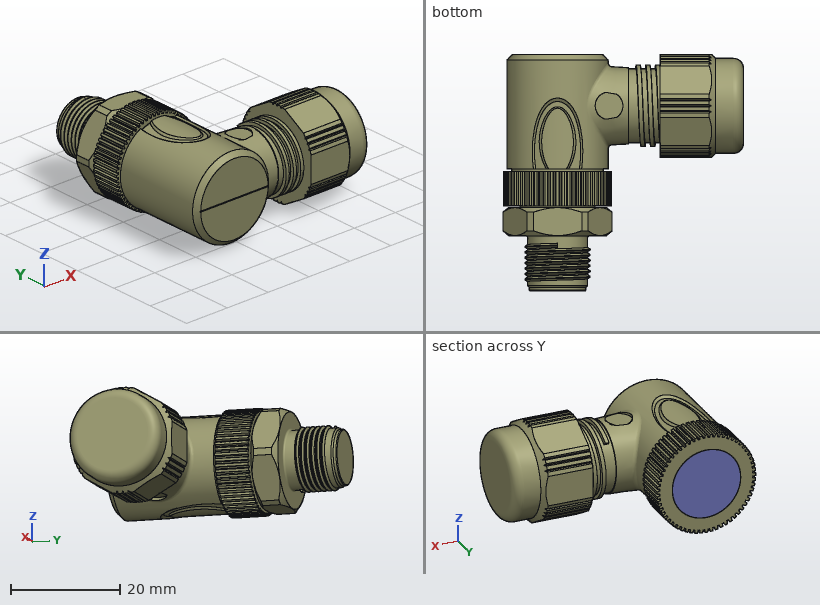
import cadquery as cq
import math


overall_height = 19.8

body_bottom = -9.45
overall_length = 43.37
stud_tip = body_bottom + overall_length
body_top = 11.55
knurl_bottom = 12.0
knurl_length = 6.35
hex_bottom = 18.6
hex_top = 23.8
stud_thread_start = 25.55

hex_corner_radius = 10.0
overall_width = 44.1
gland_end = overall_width - hex_corner_radius
collar_end = 13.0
gland_thread_start = 14.1
nut_start = 18.8
nut_chamfer_start = 27.75

body_radius = 9.3
body_chamfer = 1.05
seam_width = 0.15
seam_depth = 0.1

badge_center_y = 8.38
field_center_y = 6.6
badge_half_width = 4.65
badge_half_length = 9.8
field_half_width = 2.9
field_half_length = 6.15
groove_depth = 0.45
field_depth = 0.18
badge_wall_angle = 55.0
field_wall_angle = 45.0

collar_radius = 7.0
collar_draft = 3.2
collar_fillet = 0.65
spot_x = 9.45
spot_diameter = 5.05

neck_diameter = 13.6
neck_radius = neck_diameter / 2
gland_thread_radius = 7.5
gland_thread_length = 5.0
gland_thread_turns = 2.8
gland_thread_root_width = 0.9
gland_thread_crest_width = 0.75

nut_radius = overall_height / 2
nut_across_flats = 18.85
nut_sides = 6
dome_radius = 8.73
dome_fillet = 1.9
nut_groove_offsets = (-6.5, 0.0, 6.5)
nut_groove_width = 0.45
nut_groove_depth = 0.35

knurl_radius = overall_height / 2
knurl_root_radius = 9.35
knurl_teeth = 60
tooth_root_width = 0.75
tooth_tip_width = 0.5
lower_neck_radius = 8.4
upper_neck_radius = 6.88

hex_across_flats = 18.0
hex_sides = 6
hex_chamfer_length = 0.9
hex_chamfer_depth = 1.05

stud_radius = 5.5
stud_tip_radius = 5.2
stud_tip_chamfer = 0.18
stud_shoulder = 1.0
stud_shoulder_length = 0.3
stud_root_fillet = 0.35
stud_thread_radius = 6.0
stud_thread_length = 6.5
stud_thread_turns = 6.5
stud_thread_root_width = 0.8
stud_thread_crest_width = 0.15

overlap = 0.18
thread_sink = 0.1


def plug_plane(y):
    """Plane across the plug axis; its local x points to -X and its local y to +Z."""
    return cq.Plane(origin=(0, y, 0), xDir=(-1, 0, 0), normal=(0, 1, 0))


def gland_plane(x):
    """Plane across the gland axis; its local x points to +Y and its local y to +Z."""
    return cq.Plane(origin=(x, 0, 0), xDir=(0, 1, 0), normal=(1, 0, 0))


def plug_cylinder(radius, start, end):
    return cq.Workplane(plug_plane(start)).circle(radius).extrude(end - start)


def hexagon_across_corners(across_flats):
    return across_flats / math.cos(math.pi / 6)


def thread_ridge(plane, length, turns, root_radius, crest_radius, root_width, crest_width):
    """Helical ridge rising along the plane normal from the local x axis."""
    flank_slope = (root_width - crest_width) / (crest_radius - root_radius)
    base_radius = root_radius - thread_sink
    base_width = root_width + flank_slope * thread_sink
    helix = cq.Wire.makeHelix(length / turns, length, root_radius)
    profile = cq.Workplane("XZ").polyline([
        (base_radius, -base_width / 2),
        (crest_radius, -crest_width / 2),
        (crest_radius, crest_width / 2),
        (base_radius, base_width / 2),
    ]).close()
    ridge = profile.sweep(cq.Workplane(obj=helix), isFrenet=True)
    return cq.Workplane(obj=ridge.val().located(cq.Location(plane)))


def make_body():
    """Plug barrel blended into the tapered gland collar."""
    barrel = plug_cylinder(body_radius, body_bottom, body_top)
    barrel = barrel.faces("<Y").chamfer(body_chamfer)

    collar_root_radius = collar_radius + collar_end * math.tan(math.radians(collar_draft))
    collar = (
        cq.Workplane("XY")
        .polyline([(0, 0), (0, collar_root_radius), (collar_end, collar_radius), (collar_end, 0)])
        .close()
        .revolve(360, (0, 0, 0), (1, 0, 0))
    )
    junction = cq.selectors.BoxSelector(
        (0, -collar_root_radius, -collar_root_radius),
        (body_radius - overlap, collar_root_radius, collar_root_radius),
    )
    return barrel.union(collar).edges(junction).fillet(collar_fillet)


def badge_recess():
    """Bevelled oval groove around a slightly sunk oval field, on the +Z face."""
    wall_slope = math.tan(math.radians(badge_wall_angle))
    side_drop = body_radius - math.sqrt(body_radius**2 - badge_half_width**2)
    bowl_half_width = badge_half_width + side_drop * wall_slope
    cut_depth = side_drop + groove_depth

    field_slope = math.tan(math.radians(field_wall_angle))
    field_radius = body_radius - field_depth
    field_drop = body_radius - math.sqrt(field_radius**2 - field_half_width**2)
    island_half_width = field_half_width - field_drop * field_slope
    island_half_length = field_half_length - field_depth * field_slope

    bowl = (
        cq.Workplane("XY", origin=(0, badge_center_y, body_radius))
        .ellipse(bowl_half_width, badge_half_length)
        .extrude(-cut_depth, taper=badge_wall_angle)
    )
    island = (
        cq.Workplane("XY", origin=(0, field_center_y, body_radius))
        .ellipse(island_half_width, island_half_length)
        .extrude(-cut_depth, taper=-field_wall_angle)
    )

    field_top = plug_cylinder(field_radius, body_bottom, stud_tip)
    groove_floor = plug_cylinder(body_radius - groove_depth, body_bottom, stud_tip)
    return bowl.cut(groove_floor).cut(island.intersect(field_top))


def spot_face():
    """Cutter for the round flat on the +Z side of the collar, level with the neck."""
    plane = cq.Workplane("XY", origin=(spot_x, 0, neck_radius))
    return plane.circle(spot_diameter / 2).extrude(body_radius)


def seam_groove():
    """Fine groove across the flat end of the barrel."""
    return cq.Workplane("XY").box(2 * body_radius, 2 * seam_depth, seam_width).translate((0, body_bottom, 0))


def make_knurl():
    """Ring with straight trapezoidal teeth."""
    root = knurl_root_radius - overlap
    tooth = (
        cq.Workplane(plug_plane(knurl_bottom))
        .polyline([
            (root, -tooth_root_width / 2),
            (knurl_radius, -tooth_tip_width / 2),
            (knurl_radius, tooth_tip_width / 2),
            (root, tooth_root_width / 2),
        ])
        .close()
        .extrude(knurl_length)
        .val()
    )
    teeth = [
        tooth.rotate(cq.Vector(0, 0, 0), cq.Vector(0, 1, 0), 360 * i / knurl_teeth)
        for i in range(knurl_teeth)
    ]
    ring = plug_cylinder(knurl_root_radius, knurl_bottom, knurl_bottom + knurl_length)
    return cq.Workplane(obj=ring.val().fuse(*teeth))


def make_hexagon():
    """Hexagon with corners on the X axis, blunted and bevelled by a turned envelope."""
    prism = (
        cq.Workplane(plug_plane(hex_bottom))
        .polygon(hex_sides, hexagon_across_corners(hex_across_flats))
        .extrude(hex_top - hex_bottom)
    )
    blunting = (
        cq.Workplane(plug_plane(hex_bottom))
        .polygon(hex_sides, hexagon_across_corners(2 * hex_corner_radius))
        .extrude(hex_top - hex_bottom)
        .rotate((0, 0, 0), (0, 1, 0), 180 / hex_sides)
    )
    full = hex_corner_radius + overlap
    end = hex_corner_radius - hex_chamfer_depth
    envelope = (
        cq.Workplane("XY")
        .polyline([
            (0, hex_bottom),
            (end, hex_bottom),
            (hex_corner_radius, hex_bottom + hex_chamfer_length),
            (full, hex_bottom + hex_chamfer_length),
            (full, hex_top - hex_chamfer_length),
            (hex_corner_radius, hex_top - hex_chamfer_length),
            (end, hex_top),
            (0, hex_top),
        ])
        .close()
        .revolve(360, (0, 0, 0), (0, 1, 0))
    )
    return prism.intersect(blunting).intersect(envelope)


def make_stud():
    """Stepped stud with a rounded root and a single-start thread."""
    shoulder = stud_tip - stud_shoulder
    core = (
        cq.Workplane("XY")
        .moveTo(0, hex_top - overlap)
        .lineTo(stud_radius + stud_root_fillet, hex_top - overlap)
        .lineTo(stud_radius + stud_root_fillet, hex_top)
        .radiusArc((stud_radius, hex_top + stud_root_fillet), stud_root_fillet)
        .lineTo(stud_radius, shoulder)
        .lineTo(stud_tip_radius, shoulder + stud_shoulder_length)
        .lineTo(stud_tip_radius, stud_tip - stud_tip_chamfer)
        .lineTo(stud_tip_radius - stud_tip_chamfer, stud_tip)
        .lineTo(0, stud_tip)
        .close()
        .revolve(360, (0, 0, 0), (0, 1, 0))
    )
    start = cq.Plane(origin=(0, stud_thread_start, 0), xDir=(0, 0, -1), normal=(0, 1, 0))
    thread = thread_ridge(
        start, stud_thread_length, stud_thread_turns,
        stud_radius, stud_thread_radius, stud_thread_root_width, stud_thread_crest_width,
    )
    return core.union(thread)


def make_gland_neck():
    """Threaded neck reaching just inside the nut."""
    neck_end = nut_start + gland_thread_root_width
    neck = cq.Workplane(gland_plane(collar_end - overlap)).circle(neck_radius).extrude(
        neck_end - collar_end + overlap
    )
    start = cq.Plane(origin=(gland_thread_start, 0, 0), xDir=(0, 1, 1), normal=(1, 0, 0))
    thread = thread_ridge(
        start, gland_thread_length, gland_thread_turns,
        neck_radius, gland_thread_radius, gland_thread_root_width, gland_thread_crest_width,
    )
    return neck.union(thread)


def make_nut():
    """Domed nut with six flats and V grooves along the rounded stretches between them."""
    dome_start = nut_chamfer_start + nut_radius - dome_radius
    turned = (
        cq.Workplane("XY")
        .moveTo(nut_start, 0)
        .lineTo(nut_start, nut_radius)
        .lineTo(nut_chamfer_start, nut_radius)
        .lineTo(dome_start, dome_radius)
        .lineTo(gland_end - dome_fillet, dome_radius)
        .radiusArc((gland_end, dome_radius - dome_fillet), dome_fillet)
        .lineTo(gland_end, 0)
        .close()
        .revolve(360, (0, 0, 0), (1, 0, 0))
    )
    flats = (
        cq.Workplane(gland_plane(nut_start))
        .polygon(nut_sides, hexagon_across_corners(nut_across_flats))
        .extrude(gland_end - nut_start)
        .rotate((0, 0, 0), (1, 0, 0), 180 / nut_sides)
    )
    groove = (
        cq.Workplane(gland_plane(nut_start))
        .polyline([
            (nut_radius - nut_groove_depth, 0),
            (nut_radius, nut_groove_width / 2),
            (nut_radius + overlap, nut_groove_width / 2),
            (nut_radius + overlap, -nut_groove_width / 2),
            (nut_radius, -nut_groove_width / 2),
        ])
        .close()
        .extrude(gland_end - nut_start)
    )
    nut = turned.intersect(flats)
    for side in range(nut_sides):
        corner_angle = (side + 0.5) * 360 / nut_sides
        for offset in nut_groove_offsets:
            nut = nut.cut(groove.rotate((0, 0, 0), (1, 0, 0), corner_angle + offset))
    return nut


body = make_body().cut(seam_groove())
for cutter in (badge_recess(), spot_face()):
    body = body.cut(cutter).cut(cutter.mirror("XY"))

lower_neck = plug_cylinder(lower_neck_radius, body_top - overlap, knurl_bottom + overlap)
upper_neck = plug_cylinder(upper_neck_radius, hex_bottom - 2 * overlap, hex_bottom + overlap)

pieces = [
    lower_neck,
    make_knurl(),
    upper_neck,
    make_hexagon(),
    make_stud(),
    make_gland_neck(),
    make_nut(),
]
result = body
for piece in pieces:
    result = result.union(piece)